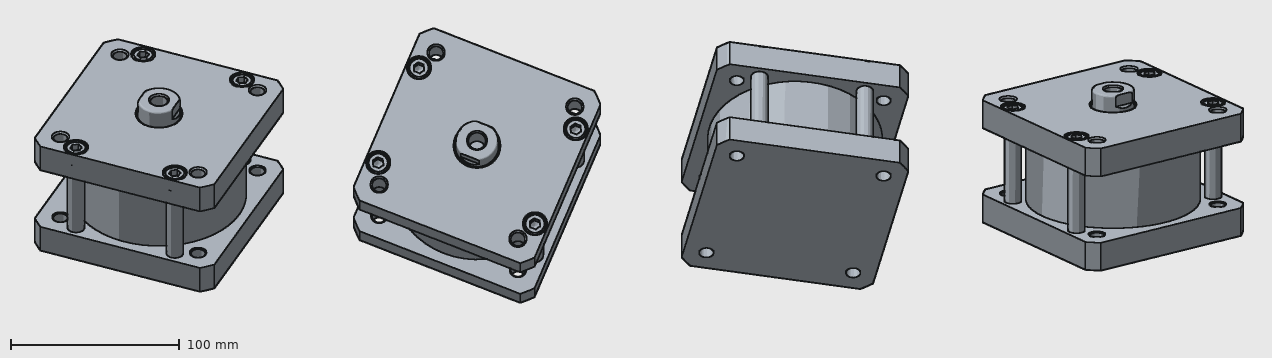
import cadquery as cq
import math

plate_side = 116.0
plate_thickness = 17.6
cover_top = 77.0
cover_bottom = cover_top - plate_thickness
rod_top = 87.0
corner_diameter = 155.1

barrel_diameter = 103.7

mount_offset = 44.4
cover_mount_diameter = 8.4
cover_mount_chamfer = 1.0
base_mount_diameter = 8.6
base_mount_chamfer = 0.7

bolt_offset_x = 31.9
bolt_offset_y = 50.2
shank_diameter = 10.1
shank_depth_in_base = 10.0
head_diameter = 13.0
head_height = 8.0
head_recess = 0.3
head_chamfer = 0.9
hex_across_flats = 6.0
hex_depth = 4.0
hex_corner_diameter = hex_across_flats / math.cos(math.pi / 6)
hex_tip_half_angle = math.radians(59)
head_top = cover_top - head_recess
seat_level = head_top - head_height
bolt_bottom = plate_thickness - shank_depth_in_base
counterbore_diameter = 14.0
counterbore_chamfer = 0.2

rod_diameter = 25.0
rod_rim_radius = 1.3
flat_width = 22.0
flat_height = 7.0
rod_bore_diameter = 10.2
rod_bore_chamfer = 0.9
rod_bore_depth = 17.4
rod_bore_tip_half_angle = math.radians(84)

opening_diameter = 25.6
opening_step_diameter = 26.9
opening_mouth_diameter = 28.0
opening_mouth_chamfer = (opening_mouth_diameter - opening_step_diameter) / 2
opening_step_depth = 1.2

mount_points = [(sx * mount_offset, sy * mount_offset) for sx in (-1, 1) for sy in (-1, 1)]
bolt_points = [(sx * bolt_offset_x, sy * bolt_offset_y) for sx in (-1, 1) for sy in (-1, 1)]


def disc(diameter, bottom, top):
    """Upright cylinder on the Z axis."""
    return cq.Workplane("XY", origin=(0, 0, bottom)).circle(diameter / 2).extrude(top - bottom)


def cone(bottom_diameter, top_diameter, bottom, top):
    """Upright cone or frustum on the Z axis."""
    return cq.Workplane(cq.Solid.makeCone(
        bottom_diameter / 2, top_diameter / 2, top - bottom, pnt=cq.Vector(0, 0, bottom)))


def chamfered_hole(diameter, chamfer, bottom, top):
    """Cutter for a hole with a 45 degree chamfer at its upper mouth."""
    mouth = cone(diameter, diameter + 2 * chamfer, top - chamfer, top)
    return disc(diameter, bottom, top).union(mouth)


def drill_tip(diameter, half_angle, top):
    """Conical end of a drilled hole, pointing down."""
    return cone(0, diameter, top - diameter / 2 / math.tan(half_angle), top)


def cut_at(body, cutter, points):
    """Cut one copy of the cutter at every point."""
    for x, y in points:
        body = body.cut(cutter.translate((x, y, 0)))
    return body


def make_plate(bottom):
    """Square plate whose corners are trimmed by a large circle."""
    square = cq.Workplane("XY", origin=(0, 0, bottom)).rect(plate_side, plate_side).extrude(plate_thickness)
    return square.intersect(disc(corner_diameter, bottom, bottom + plate_thickness))


def make_base():
    """Lower plate with mounting holes and blind sockets for the tie bolts."""
    mount_hole = chamfered_hole(base_mount_diameter, base_mount_chamfer, 0, plate_thickness)
    base = cut_at(make_plate(0), mount_hole, mount_points)
    return cut_at(base, disc(shank_diameter, bolt_bottom, plate_thickness), bolt_points)


def make_cover():
    """Upper plate with the rod opening, mounting holes and counterbored bolt holes."""
    mount_hole = chamfered_hole(cover_mount_diameter, cover_mount_chamfer, cover_bottom, cover_top)
    bolt_hole = disc(shank_diameter, cover_bottom, cover_top)
    counterbore = chamfered_hole(counterbore_diameter, counterbore_chamfer, seat_level, cover_top)
    opening_step = chamfered_hole(
        opening_step_diameter, opening_mouth_chamfer, cover_top - opening_step_depth, cover_top)
    cover = cut_at(make_plate(cover_bottom), mount_hole, mount_points)
    cover = cut_at(cover, bolt_hole.union(counterbore), bolt_points)
    return cover.cut(disc(opening_diameter, cover_bottom, cover_top)).cut(opening_step)


def make_barrel():
    """Round barrel clamped between the two plates."""
    return disc(barrel_diameter, plate_thickness, cover_bottom)


def make_rod():
    """Rod end with a rounded rim, two wrench flats and a drilled bore."""
    rod = disc(rod_diameter, cover_bottom, rod_top).faces(">Z").fillet(rod_rim_radius)

    flat_bottom = rod_top - flat_height
    flat_x = flat_width / 2
    outer_x = rod_diameter / 2
    runout = outer_x - flat_x
    flat_cut = (
        cq.Workplane("XZ")
        .moveTo(flat_x, rod_top)
        .lineTo(flat_x, flat_bottom)
        .lineTo(outer_x, flat_bottom - runout)
        .lineTo(outer_x, rod_top)
        .close()
        .extrude(rod_diameter / 2, both=True)
    )
    rod = rod.cut(flat_cut).cut(flat_cut.mirror("YZ"))

    bore_bottom = rod_top - rod_bore_depth
    bore = chamfered_hole(rod_bore_diameter, rod_bore_chamfer, bore_bottom, rod_top)
    return rod.cut(bore).cut(drill_tip(rod_bore_diameter, rod_bore_tip_half_angle, bore_bottom))


def make_bolt(x, y):
    """Tie bolt with a chamfered socket head and a conical socket floor."""
    head = disc(head_diameter, seat_level, head_top).faces(">Z").chamfer(head_chamfer)
    bolt = head.union(disc(shank_diameter, bolt_bottom, seat_level))

    hex_bottom = head_top - hex_depth
    hexagon = (
        cq.Workplane("XY", origin=(0, 0, seat_level))
        .transformed(rotate=(0, 0, 90))
        .polygon(6, hex_corner_diameter)
        .extrude(head_height)
    )
    socket_round = disc(hex_corner_diameter, hex_bottom, head_top).union(
        drill_tip(hex_corner_diameter, hex_tip_half_angle, hex_bottom))
    return bolt.cut(hexagon.intersect(socket_round)).translate((x, y, 0))


base = make_base()
cover = make_cover()
barrel = make_barrel()
rod = make_rod()
bolts = [make_bolt(x, y) for x, y in bolt_points]

result = cq.Compound.makeCompound(
    [base.val(), cover.val(), barrel.val(), rod.val(), *[bolt.val() for bolt in bolts]]
)